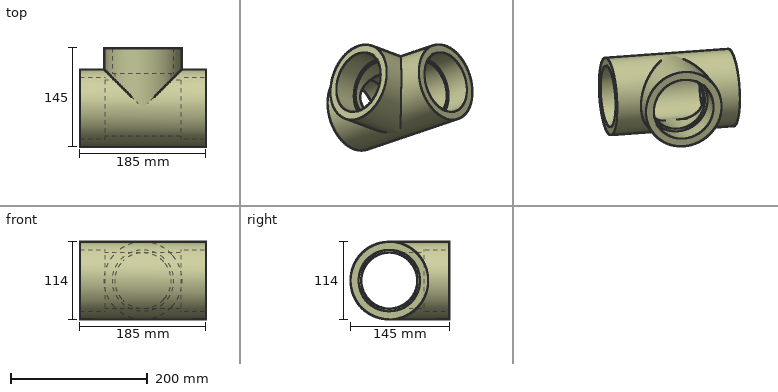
import cadquery as cq

run_length = 185.0
branch_length = 88.0
outer_diameter = 114.0
socket_diameter = 90.0
bore_diameter = 82.0
socket_depth = 37.0

half_run = run_length / 2

run_start = cq.Plane(origin=(-half_run, 0, 0), xDir=(0, 1, 0), normal=(1, 0, 0))
run_end = cq.Plane(origin=(half_run, 0, 0), xDir=(0, 1, 0), normal=(-1, 0, 0))
branch_end = cq.Plane(origin=(0, branch_length, 0), xDir=(1, 0, 0), normal=(0, -1, 0))


def cylinder(end_plane, diameter, length):
    """Solid cylinder growing inward from an end face of the tee."""
    return cq.Workplane(end_plane).circle(diameter / 2).extrude(length)


def tee(diameter):
    """Full-length run joined to a branch that reaches the run axis."""
    run = cylinder(run_start, diameter, run_length)
    branch = cylinder(branch_end, diameter, branch_length)
    return run.union(branch)


result = tee(outer_diameter).cut(tee(bore_diameter))

for end_plane in (run_start, run_end, branch_end):
    result = result.cut(cylinder(end_plane, socket_diameter, socket_depth))